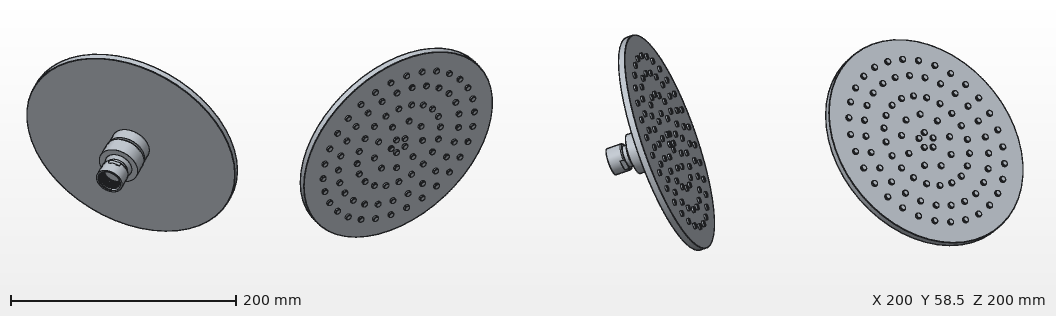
import cadquery as cq
import math

overall_length = 58.5

plate_radius = 100.0
plate_thickness = 6.5
plate_edge_chamfer = 0.5

nozzle_diameter = 5.5
nozzle_height = 2.0
nozzle_tip_chamfer = 0.5
nozzle_rings = [
    (80.0, 30, 0.0),
    (64.0, 25, 2.0),
    (44.0, 20, 0.0),
    (26.0, 9, 35.0),
    (8.0, 5, 0.0),
]

boss_radius = 17.8
boss_length = 11.0
groove_radius = 14.8
groove_width = 3.0
collar_radius = 18.5
collar_length = 14.5

shoulder_radius = 12.8
shoulder_length = 3.0
neck_radius = 10.0
neck_length = 3.5

inlet_radius = 12.5
inlet_edge_drop = 0.5
inlet_edge_length = 1.2
flat_distance = 11.2
flat_length = 4.2
bore_radius = 9.5
bore_depth = 11.0
mouth_chamfer = 1.5
thread_pitch = 1.8
thread_depth = 1.0
thread_length = 9.8
thread_groove_width = 1.5

cut_overlap = 0.2

plate_back = 0.0
plate_front = plate_back - plate_thickness
boss_end = plate_front - boss_length
collar_start = boss_end - groove_width
collar_end = collar_start - collar_length
neck_start = collar_end - shoulder_length
inlet_start = neck_start - neck_length
inlet_face = plate_back + nozzle_height - overall_length


def make_body():
    """Plate, boss, collar, neck and inlet sleeve as one solid of revolution about Y."""
    outline = [
        (0, plate_back),
        (plate_radius - plate_edge_chamfer, plate_back),
        (plate_radius, plate_back - plate_edge_chamfer),
        (plate_radius, plate_front + plate_edge_chamfer),
        (plate_radius - plate_edge_chamfer, plate_front),
        (boss_radius, plate_front),
        (boss_radius, boss_end),
        (groove_radius, boss_end),
        (groove_radius, collar_start),
        (collar_radius, collar_start),
        (collar_radius, collar_end),
        (shoulder_radius, collar_end),
        (neck_radius, neck_start),
        (neck_radius, inlet_start),
        (inlet_radius - inlet_edge_drop, inlet_start),
        (inlet_radius, inlet_start - inlet_edge_length),
        (inlet_radius, inlet_face),
        (0, inlet_face),
    ]
    return cq.Workplane("XY").polyline(outline).close().revolve(360, (0, 0), (0, 1))


def make_nozzles():
    """All nozzle studs, rooted halfway into the plate, with chamfered tips."""
    root = plate_thickness / 2
    centers = []
    for ring_radius, count, first_angle in nozzle_rings:
        for i in range(count):
            angle = math.radians(first_angle + 360 * i / count)
            centers.append((ring_radius * math.cos(angle), ring_radius * math.sin(angle)))
    return (
        cq.Workplane("XZ", origin=(0, plate_back - root, 0))
        .pushPoints(centers)
        .circle(nozzle_diameter / 2)
        .extrude(-(root + nozzle_height))
        .faces(">Y")
        .chamfer(nozzle_tip_chamfer)
    )


def make_flat_cutter(side):
    """Block that cuts one wrench flat on the inlet sleeve; side is +1 for +Z, -1 for -Z."""
    block_height = inlet_radius - flat_distance + cut_overlap
    return cq.Workplane("XY").box(2 * inlet_radius, flat_length, block_height).translate(
        (0, inlet_start - flat_length / 2, side * (flat_distance + block_height / 2))
    )


def make_bore():
    """Blind bore of the inlet with a chamfered mouth."""
    outline = [
        (0, inlet_face),
        (bore_radius + mouth_chamfer, inlet_face),
        (bore_radius, inlet_face + mouth_chamfer),
        (bore_radius, inlet_face + bore_depth),
        (0, inlet_face + bore_depth),
    ]
    return cq.Workplane("XY").polyline(outline).close().revolve(360, (0, 0), (0, 1))


def make_thread():
    """Helical V groove that forms the female thread, built along Z and turned onto Y."""
    half_width = thread_groove_width / 2
    inner = bore_radius - cut_overlap
    helix = cq.Wire.makeHelix(thread_pitch, thread_length, bore_radius)
    groove = (
        cq.Workplane("XZ")
        .polyline([(inner, -half_width), (bore_radius + thread_depth, 0), (inner, half_width)])
        .close()
        .sweep(cq.Workplane(obj=helix), isFrenet=True)
    )
    return groove.rotate((0, 0, 0), (1, 0, 0), -90).translate((0, inlet_face, 0))


result = make_body().union(make_nozzles())
for side in (1, -1):
    result = result.cut(make_flat_cutter(side))
result = result.cut(make_bore()).cut(make_thread())